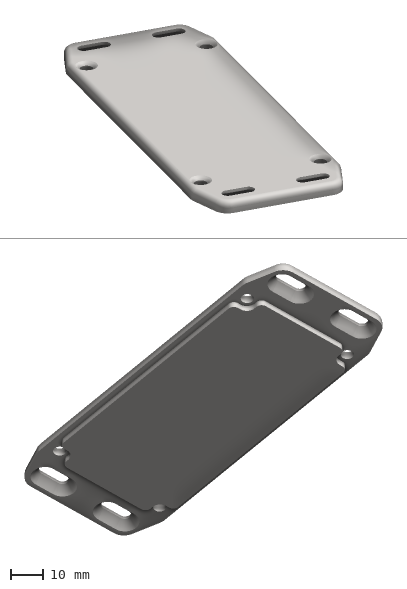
import cadquery as cq
import math

plate_length = 127.0
plate_width = 50.0
plate_thickness = 4.0
plate_corner_radius = 5.0
top_edge_radius = 2.0

corner_cut_length = 13.6
corner_cut_width = 4.8

lip_length = 96.0
lip_side_inset = 2.0
lip_height = 2.0
lip_corner_radius = 2.0
lip_width = plate_width - 2 * lip_side_inset

screw_clearance_radius = 3.0
notch_size = 2 * screw_clearance_radius
screw_spacing_x = 90.7
screw_spacing_y = 40.1
screw_hole_diameter = 4.1
countersink_diameter = 7.0
countersink_depth = 1.0

slot_length = 10.9
slot_width = 4.0
slot_flare_margin = 2.5
slot_straight_depth = 1.0
slot_end_inset = 6.2
slot_spacing_x = plate_length - 2 * slot_end_inset
slot_spacing_y = 25.0


def make_plate():
    """Plate with sloped, rounded corners and a rounded top rim; its underside is at Z = 0."""
    half_length = plate_length / 2
    half_width = plate_width / 2
    flat_x = half_length - corner_cut_length
    flat_y = half_width - corner_cut_width
    outline = [
        (-half_length, -flat_y),
        (-flat_x, -half_width),
        (flat_x, -half_width),
        (half_length, -flat_y),
        (half_length, flat_y),
        (flat_x, half_width),
        (-flat_x, half_width),
        (-half_length, flat_y),
    ]
    plate = cq.Workplane("XY").polyline(outline).close().extrude(plate_thickness)
    plate = plate.edges("|Z").fillet(plate_corner_radius)
    return plate.faces(">Z").edges().fillet(top_edge_radius)


def make_lip():
    """Lip below the plate; its rounded corner notches keep clear of the screw holes."""
    notches = (
        cq.Workplane("XY")
        .rect(lip_length, lip_width, forConstruction=True)
        .vertices()
        .rect(2 * notch_size, 2 * notch_size)
        .extrude(-lip_height)
        .edges("|Z")
        .fillet(screw_clearance_radius)
    )
    lip = cq.Workplane("XY").rect(lip_length, lip_width).extrude(-lip_height).cut(notches)
    outer_corners = lip.edges("|Z and (<X or >X or <Y or >Y)")
    return outer_corners.fillet(lip_corner_radius)


def cut_screw_holes(body):
    """Screw holes countersunk from the plate top."""
    countersink_slope = (countersink_diameter - screw_hole_diameter) / 2 / countersink_depth
    countersink_angle = 2 * math.degrees(math.atan(countersink_slope))
    return (
        body.faces(">Z")
        .workplane(origin=(0, 0))
        .rect(screw_spacing_x, screw_spacing_y, forConstruction=True)
        .vertices()
        .cskHole(screw_hole_diameter, countersink_diameter, countersink_angle)
    )


def make_slots(length, width, height, taper=0):
    """Four slot-shaped cutters rising from the plate underside; taper narrows them upward."""
    return (
        cq.Workplane("XY")
        .rect(slot_spacing_x, slot_spacing_y, forConstruction=True)
        .vertices()
        .slot2D(length, width, 90)
        .extrude(height, taper=taper)
    )


def cut_slots(body):
    """Through slots that are straight near the top and flare outward toward the underside."""
    flare_length = slot_length + 2 * slot_flare_margin
    flare_width = slot_width + 2 * slot_flare_margin
    flare_depth = plate_thickness - slot_straight_depth
    through_slots = make_slots(slot_length, slot_width, plate_thickness)
    flare_taper = math.degrees(math.atan(slot_flare_margin / flare_depth))
    flares = make_slots(flare_length, flare_width, flare_depth, flare_taper)
    return body.cut(through_slots).cut(flares)


result = cut_slots(cut_screw_holes(make_plate().union(make_lip())))